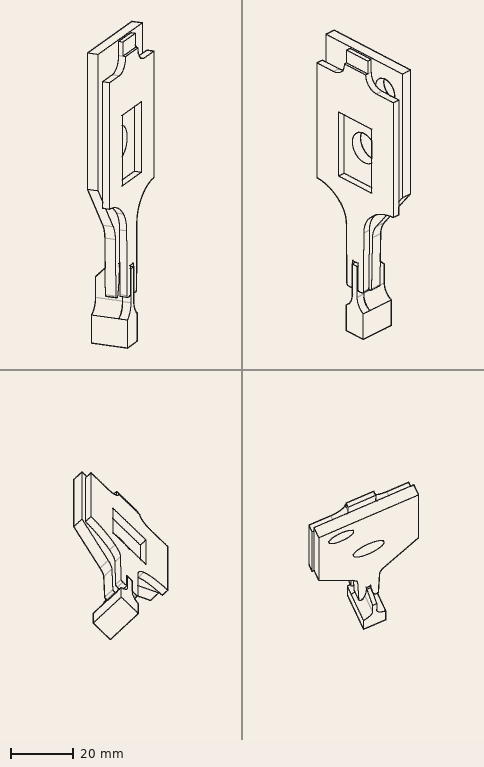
import cadquery as cq
import math

plate_width = 35.2
plate_half_width = plate_width / 2
tip_round = 0.8

thick_x = 4.7
thick_depth = 3.7
thick_top = 103.2
thick_taper_top = 57.0
thick_taper_foot = 39.0
thick_neck_half = 4.0
thick_tip_half = 3.4
thick_tip_z = 16.1
thick_neck_round = 8.3
hanging_hole_y = 9.7
hanging_hole_z = 93.5
hanging_hole_radius = 4.4
center_hole_z = 68.1
center_hole_radius = 5.4

slot_top = 27.2
slot_half = 0.8
flare_start_z = 23.9
flare_mid_z = 19.2
flare_mid_half = 1.4
flare_tip_half = 2.2

thin_x = 10.0
thin_depth = 2.5
thin_top = 94.2
thin_edge_foot = 51.2
thin_neck_half = 4.1
thin_tip_half = 3.8
thin_tip_z = 16.9
shoulder_round = 9.6
shoulder_round_foot = 39.8
shoulder_round_angle = math.radians(42.5)
tongue_half = 4.9
tongue_step_z = 99.1
tongue_top = 103.9
tongue_depth = 1.6
window_half_width = 7.6
window_half_height = 12.0
window_bottom = center_hole_z - window_half_height
window_top = center_hole_z + window_half_height

key_length = 12.7
foot_half = 4.0
foot_top = 9.6
blade_foot = 14.5
blade_top = 26.1
blade_half = 0.7
tab_x = 9.7
tab_half = 1.1
blade_chamfer = 4.5
tab_clearance = 0.1


def mirrored(points):
    """Return the points with Y reversed, in the opposite order."""
    return [(-y, z) for y, z in reversed(points)]


def yz_box(start_x, thickness, half_width, bottom, top):
    """Box centred on Y = 0, growing towards +X from start_x."""
    return cq.Workplane("XY").box(
        thickness, 2 * half_width, top - bottom, centered=(False, True, False)
    ).translate((start_x, 0, bottom))


def round_edges(plate, half_width, z, radius):
    """Round the pair of edges along X that lie at Y = +/- half_width and height z."""
    x = plate.val().Center().x
    for y in (-half_width, half_width):
        corner = cq.selectors.NearestToPointSelector((x, y, z))
        plate = plate.edges(corner).fillet(radius)
    return plate


def make_thick_plate():
    half_outline = [
        (plate_half_width, thick_top),
        (plate_half_width, thick_taper_top),
        (thick_neck_half, thick_taper_foot),
        (thick_tip_half, thick_tip_z),
    ]
    plate = (
        cq.Workplane("YZ", origin=(thick_x, 0, 0))
        .polyline(half_outline + mirrored(half_outline))
        .close()
        .extrude(thick_depth)
    )
    plate = round_edges(plate, thick_neck_half, thick_taper_foot, thick_neck_round)
    plate = round_edges(plate, thick_tip_half, thick_tip_z, tip_round)

    holes = (
        cq.Workplane("YZ", origin=(thick_x, 0, 0))
        .moveTo(hanging_hole_y, hanging_hole_z)
        .circle(hanging_hole_radius)
        .moveTo(0, center_hole_z)
        .circle(center_hole_radius)
        .extrude(thick_depth)
    )
    half_slot = [
        (slot_half, slot_top),
        (slot_half, flare_start_z),
        (flare_mid_half, flare_mid_z),
        (flare_tip_half, thick_tip_z),
    ]
    slot = (
        cq.Workplane("YZ", origin=(thick_x, 0, 0))
        .polyline(half_slot + mirrored(half_slot))
        .close()
        .extrude(thick_depth)
    )
    return plate.cut(holes).cut(slot)


def make_thin_plate():
    arc_y = thin_neck_half + shoulder_round * (1 - math.cos(shoulder_round_angle))
    arc_z = shoulder_round_foot + shoulder_round * math.sin(shoulder_round_angle)
    half_angle = shoulder_round_angle / 2
    arc_mid = (
        thin_neck_half + shoulder_round * (1 - math.cos(half_angle)),
        shoulder_round_foot + shoulder_round * math.sin(half_angle),
    )
    tongue_round = tongue_step_z - thin_top
    round_mid = tongue_round * (1 - math.cos(math.pi / 4))
    half = (
        cq.Workplane("YZ", origin=(thin_x, 0, 0))
        .moveTo(0, thin_tip_z)
        .lineTo(thin_tip_half, thin_tip_z)
        .lineTo(thin_neck_half, shoulder_round_foot)
        .threePointArc(arc_mid, (arc_y, arc_z))
        .tangentArcPoint((plate_half_width, thin_edge_foot), relative=False)
        .lineTo(plate_half_width, thin_top)
        .lineTo(tongue_half + tongue_round, thin_top)
        .threePointArc((tongue_half + round_mid, thin_top + round_mid), (tongue_half, tongue_step_z))
        .lineTo(0, tongue_step_z)
        .close()
        .extrude(thin_depth)
    )
    plate = half.union(half.mirror("XZ"))
    plate = round_edges(plate, thin_tip_half, thin_tip_z, tip_round)

    tongue = yz_box(thin_x, tongue_depth, tongue_half, tongue_step_z, tongue_top)
    slot = yz_box(thin_x, thin_depth, tab_half + tab_clearance, thin_tip_z, slot_top)
    window = yz_box(thin_x, thin_depth, window_half_width, window_bottom, window_top)
    return plate.union(tongue).cut(slot).cut(window)


def key_section(start_x, length, neck_half):
    """Foot and blade of the key, joined by concave arcs tangent to the blade."""
    flare = foot_half - neck_half
    drop = blade_foot - foot_top
    radius = (flare**2 + drop**2) / (2 * flare)
    half_angle = math.asin(drop / radius) / 2
    arc_mid_y = neck_half + radius * (1 - math.cos(half_angle))
    arc_mid_z = blade_foot - radius * math.sin(half_angle)
    return (
        cq.Workplane("YZ", origin=(start_x, 0, 0))
        .moveTo(-foot_half, 0)
        .lineTo(foot_half, 0)
        .lineTo(foot_half, foot_top)
        .threePointArc((arc_mid_y, arc_mid_z), (neck_half, blade_foot))
        .lineTo(neck_half, blade_top)
        .lineTo(-neck_half, blade_top)
        .lineTo(-neck_half, blade_foot)
        .threePointArc((-arc_mid_y, arc_mid_z), (-foot_half, foot_top))
        .close()
        .extrude(length)
    )


def make_key():
    blade = key_section(0, tab_x, blade_half)
    tab = key_section(tab_x, key_length - tab_x, tab_half)
    corner_cut = (
        cq.Workplane("XZ", origin=(0, blade_half, 0))
        .polyline([(0, blade_top - blade_chamfer), (0, blade_top), (blade_chamfer, blade_top)])
        .close()
        .extrude(2 * blade_half)
    )
    return blade.cut(corner_cut).union(tab)


thick_plate = make_thick_plate()
thin_plate = make_thin_plate()
key = make_key()

result = cq.Compound.makeCompound([thick_plate.val(), thin_plate.val(), key.val()])